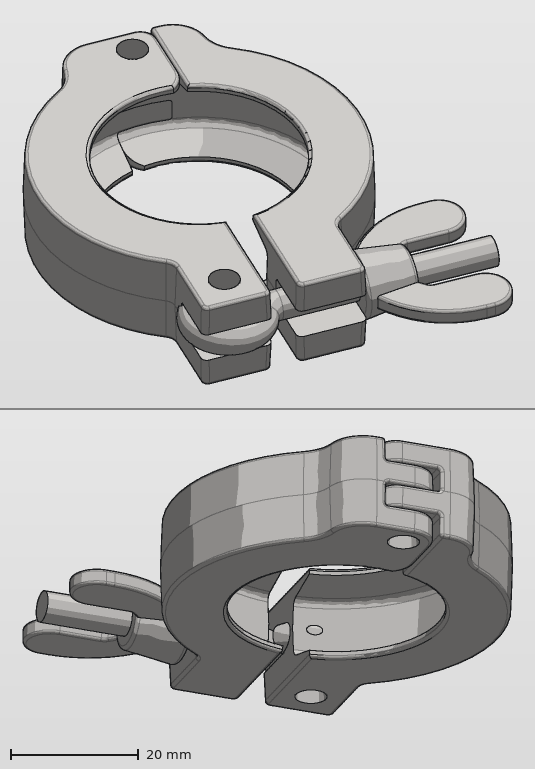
import cadquery as cq
import math

half_height = 7.755
draft = 2.0
ring_radius = 27.55
bore_radius = 16.9
groove_radius = 23.5
groove_edge_height = 6.6
groove_wall_height = 4.8
groove_fillet = 1.4
rim_fillet = 0.55

hinge_x = -28.2
lug_end = -32.6
lug_radius = 6.0
lug_flat = 6.2
knuckle_height = half_height / 2
knuckle_reach = 4.6
lower_tip_radius = 2.8
upper_tip_radius = 4.4
inner_tip_radius = 4.6

arm_end = 36.6
arm_side = 14.0
arm_hollow_radius = 1.9
arm_corner_radius = 1.0
gap_half = 2.0
slot_half = 2.55
slot_start = 27.3
slot_corner_radius = 0.55
pin_y = -7.95
pin_hole_radius = 2.51

bolt_x = 30.55
bolt_radius = 2.5
bolt_end = 37.35
hook_y = -7.3
hook_radius = 5.525
bend_radius = 3.55
hook_tip_angle = 116.0
nut_base_radius = 5.7
nut_top_radius = 4.55
nut_top = 23.15
nut_fillet = 0.6
wing_half_thickness = 1.3
wing_edge_fillet = 0.5
wing_inner = 5.6
wing_outer = 14.05
wing_head_y = 32.1
wing_curve_y = 30.7
wing_curve_radius = 17.35
wing_root_fillet = 1.4
wing_root_y = 24.5

draft_shift = half_height * math.tan(math.radians(draft))
far = 2 * arm_end


def polar(center, radius, angle):
    return (center[0] + radius * math.cos(angle), center[1] + radius * math.sin(angle))


def direction(start, end):
    return math.atan2(end[1] - start[1], end[0] - start[0])


def mirrored(point):
    return (point[0], -point[1])


def block(x_range, y_range, z_range):
    size = [high - low for low, high in (x_range, y_range, z_range)]
    return cq.Workplane("XY").box(*size, centered=False).translate((x_range[0], y_range[0], z_range[0]))


def box_selector(x_range, y_range, z_range):
    return cq.selectors.BoxSelector(*zip(x_range, y_range, z_range))


def clamp_outline():
    origin = (0, 0)
    arm_hollow_y = arm_side + arm_hollow_radius
    arm_hollow_x = math.sqrt((ring_radius + arm_hollow_radius) ** 2 - arm_hollow_y**2)
    arm_hollow = (arm_hollow_x, arm_hollow_y)
    arm_start = (arm_hollow_x, arm_side)
    ring_start = polar(origin, ring_radius, direction(origin, arm_hollow))
    arm_hollow_middle = polar(
        arm_hollow, arm_hollow_radius,
        (direction(arm_hollow, ring_start) + direction(arm_hollow, arm_start)) / 2)
    corner = (lug_end + lug_radius, lug_flat)
    corner_distance = math.hypot(*corner)
    hollow_distance = ring_radius + lug_radius
    turn = math.acos((hollow_distance**2 + corner_distance**2 - (2 * lug_radius) ** 2)
                     / (2 * hollow_distance * corner_distance))
    hollow = polar(origin, hollow_distance, direction(origin, corner) - turn)
    ring_finish = polar(origin, ring_radius, direction(origin, hollow))
    joint = polar(corner, lug_radius, direction(corner, hollow))
    hollow_middle = polar(
        hollow, lug_radius, (direction(hollow, ring_finish) + direction(hollow, joint)) / 2)
    corner_middle = polar(corner, lug_radius, (direction(corner, joint) + math.pi) / 2)
    lug_start = (lug_end, lug_flat)
    return (
        cq.Workplane("XY")
        .moveTo(arm_end, -arm_side)
        .lineTo(arm_end, arm_side)
        .lineTo(*arm_start)
        .threePointArc(arm_hollow_middle, ring_start)
        .threePointArc((0, ring_radius), ring_finish)
        .threePointArc(hollow_middle, joint)
        .threePointArc(corner_middle, lug_start)
        .lineTo(*mirrored(lug_start))
        .threePointArc(mirrored(corner_middle), mirrored(joint))
        .threePointArc(mirrored(hollow_middle), mirrored(ring_finish))
        .threePointArc((0, -ring_radius), mirrored(ring_start))
        .threePointArc(mirrored(arm_hollow_middle), mirrored(arm_start))
        .close()
    )


def double_cone(face_radius):
    """Upright cutter that narrows with the draft toward the mid-plane."""
    middle_radius = face_radius - draft_shift
    return (
        cq.Workplane("XZ")
        .polyline([(0, -half_height), (face_radius, -half_height), (middle_radius, 0),
                   (face_radius, half_height), (0, half_height)])
        .close()
        .revolve(360, (0, 0, 0), (0, 1, 0))
    )


def pin_hole(x, y):
    return double_cone(pin_hole_radius).translate((x, y, 0))


def flange_groove():
    return (
        cq.Workplane("XZ")
        .polyline([(0, -groove_edge_height), (bore_radius, -groove_edge_height),
                   (groove_radius, -groove_wall_height), (groove_radius, groove_wall_height),
                   (bore_radius, groove_edge_height), (0, groove_edge_height)])
        .close()
        .revolve(360, (0, 0, 0), (0, 1, 0))
        .edges(cq.selectors.RadiusNthSelector(-1))
        .fillet(groove_fillet)
    )


def clamp_blank():
    """The ring with lug and arms, before it is divided at the hinge."""
    upper = clamp_outline().extrude(half_height, taper=draft)
    opening = (
        cq.Workplane("XY")
        .center(arm_end, 0)
        .rect(2 * arm_end, 2 * gap_half)
        .extrude(half_height, taper=-draft)
    )
    upper = upper.cut(opening)
    arm_corners = box_selector(
        (arm_end - 0.8, arm_end + 0.8), (-far, far), (0.8, half_height - 0.8))
    upper = upper.edges(arm_corners).fillet(arm_corner_radius)
    upper = upper.cut(double_cone(bore_radius + draft_shift))
    return upper.union(upper.mirror("XY"))


def half_space():
    """Space of the lower half: everything below the hinge and gap, plus its two knuckles."""
    hinge_inner_x = -math.sqrt(bore_radius**2 - knuckle_reach**2)
    space = block((0, far), (-far, 0), (-half_height, half_height))
    space = space.union(
        block((-far, 0), (-far, -knuckle_reach), (-half_height, half_height)))
    for bottom in (-knuckle_height, knuckle_height):
        slab = block((-far, hinge_inner_x), (-knuckle_reach, knuckle_reach),
                     (bottom, bottom + knuckle_height))
        slab = slab.edges("|Z and >Y and >X").fillet(inner_tip_radius)
        space = space.union(slab)
    return space


def hinged_half(tip_radius):
    """Clamp half on the -Y side, whose knuckles have the given rounding at the lug end."""
    half = clamp_blank().intersect(half_space())
    tips = box_selector((lug_end - 0.8, lug_end + 0.8), (knuckle_reach - 0.1, knuckle_reach + 0.1),
                        (-half_height + 0.8, half_height - 0.8))
    half = half.edges(tips).edges("not #Z").fillet(tip_radius)
    recess_floors = box_selector((lug_end - 0.8, 0), (-knuckle_reach - 0.1, -knuckle_reach + 0.1),
                                 (-knuckle_height - 0.1, knuckle_height + 0.1))
    half = half.edges(recess_floors).edges("|X").fillet(rim_fillet)
    knuckle_sides = box_selector((lug_end - 0.8, lug_end + 0.8), (-knuckle_reach, knuckle_reach),
                                 (-knuckle_height - 0.1, knuckle_height + 0.1))
    half = half.edges(knuckle_sides).edges("|Y").fillet(rim_fillet)
    half = half.faces("<Z or >Z").edges().fillet(rim_fillet)
    slot = block((slot_start, far), (-far, far), (-slot_half, slot_half))
    slot = slot.edges("|Y and <X").fillet(slot_corner_radius)
    return half.cut(flange_groove()).cut(slot).cut(pin_hole(hinge_x, 0))


def lower_half():
    half = hinged_half(lower_tip_radius)
    return half.cut(pin_hole(bolt_x, pin_y)).cut(hook_ring())


def upper_half():
    return hinged_half(upper_tip_radius).rotate((0, 0, 0), (1, 0, 0), 180)


def hook_ring():
    """Full ring of bolt bar, for the hollow in which the hook lies."""
    ring = cq.Solid.makeTorus(hook_radius, bolt_radius)
    return cq.Workplane(ring).translate((bolt_x, hook_y, 0))


def bolt_bar():
    """Straight shank, the reverse bend below it and the hook, as one bar."""
    bend_angle = math.acos(bend_radius / (hook_radius + bend_radius))
    bend_y = hook_y + (hook_radius + bend_radius) * math.sin(bend_angle)
    bend_center = (bolt_x + bend_radius, bend_y)
    hook_start = polar((bolt_x, hook_y), hook_radius, bend_angle)
    bend_middle = polar(bend_center, bend_radius, math.pi + bend_angle / 2)
    hook_middle = (bolt_x, hook_y - hook_radius)
    hook_tip = polar((bolt_x, hook_y), hook_radius, math.radians(hook_tip_angle))
    path = (
        cq.Workplane("XY")
        .moveTo(bolt_x, bolt_end)
        .lineTo(bolt_x, bend_y)
        .threePointArc(bend_middle, hook_start)
        .threePointArc(hook_middle, hook_tip)
    )
    return cq.Workplane("XZ", origin=(bolt_x, bolt_end, 0)).circle(bolt_radius).sweep(path)


def nut_hub():
    return (
        cq.Workplane("XY")
        .polyline([(0, arm_side), (nut_base_radius, arm_side), (nut_top_radius, nut_top), (0, nut_top)])
        .close()
        .revolve(360, (0, 0, 0), (0, 1, 0))
        .faces("<Y or >Y")
        .edges()
        .fillet(nut_fillet)
        .translate((bolt_x, 0, 0))
    )


def nut_wing():
    """Wing on the +X side of the bolt axis."""
    head_radius = (wing_outer - wing_inner) / 2
    head_x = (wing_outer + wing_inner) / 2
    curve_center = (wing_outer - wing_curve_radius, wing_curve_y)
    foot_y = arm_side + 1.55
    foot_angle = math.asin((foot_y - wing_curve_y) / wing_curve_radius)
    foot = polar(curve_center, wing_curve_radius, foot_angle)
    wing = (
        cq.Workplane("XY")
        .moveTo(0, foot_y)
        .lineTo(*foot)
        .threePointArc(polar(curve_center, wing_curve_radius, foot_angle / 2), (wing_outer, wing_curve_y))
        .lineTo(wing_outer, wing_head_y)
        .threePointArc((head_x, wing_head_y + head_radius), (wing_inner, wing_head_y))
        .lineTo(wing_inner, wing_root_y)
        .lineTo(0, wing_root_y - wing_inner)
        .close()
        .extrude(wing_half_thickness, both=True)
    )
    wing = wing.edges(cq.selectors.NearestToPointSelector((wing_inner, wing_root_y, 0)))
    wing = wing.fillet(wing_root_fillet)
    return wing.faces("<Z or >Z").edges().fillet(wing_edge_fillet)


def swing_bolt():
    wing = nut_wing()
    wings = wing.union(wing.mirror("YZ")).translate((bolt_x, 0, 0))
    return bolt_bar().union(nut_hub()).union(wings)


result = cq.Compound.makeCompound([lower_half().val(), upper_half().val(), swing_bolt().val()])